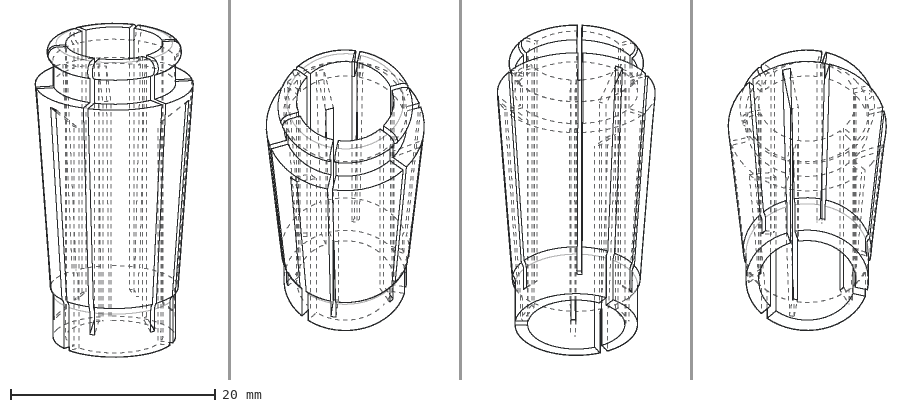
import cadquery as cq
import math

total_height = 30.5
shoulder_height = 26.3
taper_start_height = 5.15

bore_radius = 4.75
neck_radius = 6.0
shoulder_radius = 7.75
taper_angle = 4.0
undercut_radius = 1.0

bead_radius = 0.88
bead_outer_radius = 6.6
bead_center_radius = bead_outer_radius - bead_radius
bead_center_height = total_height - bead_radius

top_slot_count = 6
top_slot_first_angle = 30.0
top_slot_width = 0.5
top_slot_end_height = 2.2
bottom_slot_count = 3
bottom_slot_first_angle = 0.0
bottom_slot_width = 0.8
bottom_slot_end_height = 25.45
slot_end_angle = 42.0
slot_end_slope = math.tan(math.radians(slot_end_angle))
slot_inner_radius = bore_radius / 2
slot_overrun = 0.3
slot_outer_radius = shoulder_radius + slot_overrun


def taper_radius_at(height):
    """Outer radius of the tapered body at a given height."""
    return shoulder_radius - (shoulder_height - height) * math.tan(math.radians(taper_angle))


def make_body():
    """Revolve the sleeve wall: foot, blend, taper, collar and bead."""
    taper_start_radius = taper_radius_at(taper_start_height)
    blend_center_radius = neck_radius + undercut_radius
    blend_angle = math.acos((blend_center_radius - taper_start_radius) / undercut_radius)
    blend_start_height = taper_start_height - undercut_radius * math.sin(blend_angle)
    blend_middle = (
        blend_center_radius - undercut_radius * math.cos(blend_angle / 2),
        blend_start_height + undercut_radius * math.sin(blend_angle / 2),
    )
    bead_underside_height = bead_center_height - math.sqrt(
        bead_radius**2 - (neck_radius - bead_center_radius) ** 2
    )
    return (
        cq.Workplane("XZ")
        .moveTo(bore_radius, 0)
        .lineTo(neck_radius, 0)
        .lineTo(neck_radius, blend_start_height)
        .threePointArc(blend_middle, (taper_start_radius, taper_start_height))
        .lineTo(shoulder_radius, shoulder_height)
        .lineTo(neck_radius, shoulder_height)
        .lineTo(neck_radius, bead_underside_height)
        .threePointArc((bead_outer_radius, bead_center_height), (bead_center_radius, total_height))
        .lineTo(bore_radius, total_height)
        .close()
        .revolve(360, (0, 0, 0), (0, 1, 0))
    )


def make_slot(width, open_height, end_radius, end_height, end_slope):
    """Radial slot along +X, open at one height and closed by a sloped end."""
    inner_end = end_height + (slot_inner_radius - end_radius) * end_slope
    outer_end = end_height + (slot_outer_radius - end_radius) * end_slope
    return (
        cq.Workplane("XZ")
        .moveTo(slot_inner_radius, open_height)
        .lineTo(slot_outer_radius, open_height)
        .lineTo(slot_outer_radius, outer_end)
        .lineTo(slot_inner_radius, inner_end)
        .close()
        .extrude(width / 2, both=True)
    )


def cut_around(body, slot, count, first_angle):
    """Cut evenly spaced copies of a slot about the Z axis."""
    for index in range(count):
        angle = first_angle + index * 360 / count
        body = body.cut(slot.rotate((0, 0, 0), (0, 0, 1), angle))
    return body


top_slot = make_slot(
    top_slot_width,
    total_height + slot_overrun,
    neck_radius,
    top_slot_end_height,
    -slot_end_slope,
)
bottom_slot = make_slot(
    bottom_slot_width,
    -slot_overrun,
    taper_radius_at(bottom_slot_end_height),
    bottom_slot_end_height,
    slot_end_slope,
)

result = make_body()
result = cut_around(result, top_slot, top_slot_count, top_slot_first_angle)
result = cut_around(result, bottom_slot, bottom_slot_count, bottom_slot_first_angle)